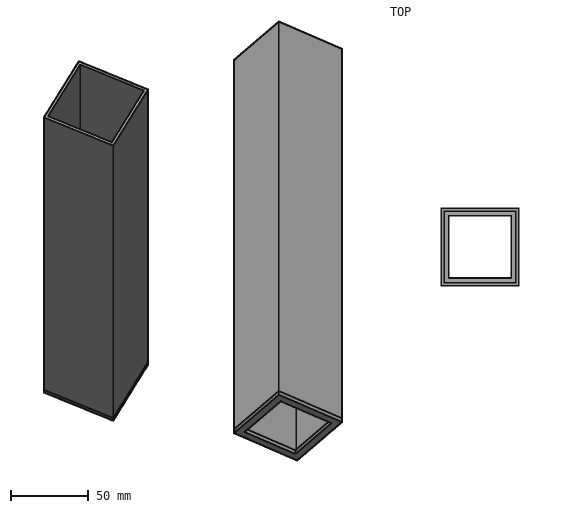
import cadquery as cq

total_height = 303.0
outer_width = 50.0

tube_wall = 2.0

base_height = 3.0
base_opening_width = 40.0


def square_ring(outer, opening, height, bottom):
    """Upright square ring centred on the Z axis, with a square through opening."""
    return (
        cq.Workplane("XY")
        .workplane(offset=bottom)
        .rect(outer, outer)
        .rect(opening, opening)
        .extrude(height)
    )


def make_base_frame():
    """Flat frame whose opening is narrower than the bore of the tube."""
    return square_ring(outer_width, base_opening_width, base_height, 0)


def make_tube():
    """Thin-walled square tube standing on the base frame."""
    bore_width = outer_width - 2 * tube_wall
    return square_ring(outer_width, bore_width, total_height - base_height, base_height)


base_frame = make_base_frame()
tube = make_tube()

result = cq.Compound.makeCompound([base_frame.val(), tube.val()])